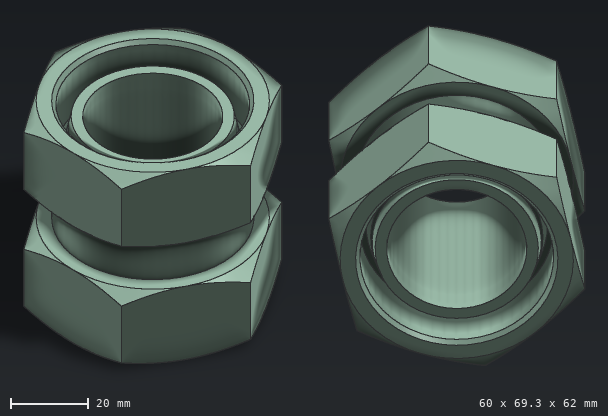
import cadquery as cq
import math

ACROSS_CORNERS = 69.3
ACROSS_FLATS = ACROSS_CORNERS * math.cos(math.radians(30))
LENGTH = 62.0

NUT_HEIGHT = 23.9
NUT_CHAMFER_ANGLE = 30.0
NECK_DIAMETER = 52.0

BORE_DIAMETER = 36.0
SOCKET_DIAMETER = 49.8
SOCKET_MOUTH_DIAMETER = NECK_DIAMETER
SOCKET_DEPTH = 15.7

NOSE_TIP_RADIUS = 21.0
NOSE_TIP_DEPTH = 5.05
NOSE_HALF_ANGLE = 12.0

GROOVE_START = 3.6
GROOVE_WIDTH = 1.95
GROOVE_FLOOR_RADIUS = 20.45


def nose_radius(distance_from_tip):
    return NOSE_TIP_RADIUS + distance_from_tip * math.tan(math.radians(NOSE_HALF_ANGLE))


def make_nut():
    """Hexagon with both ends turned to a chamfer that meets the flats."""
    hexagon = (
        cq.Workplane("XY")
        .polygon(6, ACROSS_CORNERS)
        .extrude(NUT_HEIGHT)
        .rotate((0, 0, 0), (0, 0, 1), 90)
    )
    face_radius = ACROSS_FLATS / 2
    corner_radius = ACROSS_CORNERS / 2
    chamfer = (corner_radius - face_radius) * math.tan(math.radians(NUT_CHAMFER_ANGLE))
    turned_blank = (
        cq.Workplane("XZ")
        .polyline([
            (0, 0),
            (face_radius, 0),
            (corner_radius, chamfer),
            (corner_radius, NUT_HEIGHT - chamfer),
            (face_radius, NUT_HEIGHT),
            (0, NUT_HEIGHT),
        ])
        .close()
        .revolve(360, (0, 0, 0), (0, 1, 0))
    )
    return hexagon.intersect(turned_blank)


def make_socket():
    """Cutter for the upper socket, leaving the grooved nose standing in it."""
    floor_z = LENGTH - SOCKET_DEPTH
    tip_z = LENGTH - NOSE_TIP_DEPTH
    groove_top_z = tip_z - GROOVE_START
    groove_bottom_z = groove_top_z - GROOVE_WIDTH
    socket_radius = SOCKET_DIAMETER / 2
    mouth_radius = SOCKET_MOUTH_DIAMETER / 2
    mouth_chamfer = mouth_radius - socket_radius
    return (
        cq.Workplane("XZ")
        .polyline([
            (0, LENGTH),
            (mouth_radius, LENGTH),
            (socket_radius, LENGTH - mouth_chamfer),
            (socket_radius, floor_z),
            (nose_radius(tip_z - floor_z), floor_z),
            (nose_radius(tip_z - groove_bottom_z), groove_bottom_z),
            (GROOVE_FLOOR_RADIUS, groove_bottom_z),
            (GROOVE_FLOOR_RADIUS, groove_top_z),
            (nose_radius(GROOVE_START), groove_top_z),
            (NOSE_TIP_RADIUS, tip_z),
            (0, tip_z),
        ])
        .close()
        .revolve(360, (0, 0, 0), (0, 1, 0))
    )


nut = make_nut()
body = (
    cq.Workplane("XY")
    .circle(NECK_DIAMETER / 2)
    .extrude(LENGTH)
    .union(nut)
    .union(nut.translate((0, 0, LENGTH - NUT_HEIGHT)))
)

upper_socket = make_socket()
lower_socket = upper_socket.mirror("XY", (0, 0, LENGTH / 2))
bore = cq.Workplane("XY").circle(BORE_DIAMETER / 2).extrude(LENGTH)

result = body.cut(upper_socket).cut(lower_socket).cut(bore)